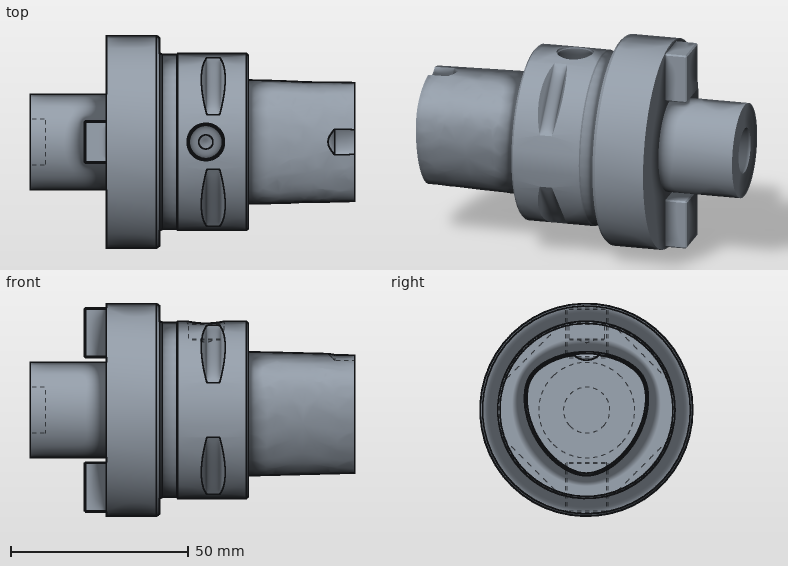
import cadquery as cq
import math


PILOT_DIAMETER = 27.0
PILOT_LENGTH = 21.5
FLANGE_DIAMETER = 60.0
FLANGE_LENGTH = 15.0
FLANGE_CHAMFER_LENGTH = 0.9
FLANGE_CHAMFER_DEPTH = 0.7
COLLAR_DIAMETER = 50.0
COLLAR_LENGTH = 25.0
COLLAR_CHAMFER = 0.6
NECK_DIAMETER = 49.4
NECK_LENGTH = 4.4
NECK_STEP = (COLLAR_DIAMETER - NECK_DIAMETER) / 2
NECK_LEAD_LENGTH = 0.75

BORE_DIAMETER = 13.0
BORE_DEPTH = 4.2

KEY_WIDTH = 12.0
KEY_HEIGHT = 6.2
KEY_INNER_RADIUS = 14.7
KEY_OUTER_RADIUS = 28.8
KEY_CHAMFER = 0.4

SHANK_LENGTH = 30.0
SHANK_DIAMETER = 35.0
SHANK_LOBE_HEIGHT = 1.08
SHANK_TAPER = 1 / 20
SHANK_LOBES = 3
SHANK_SPLINE_POINTS = 36

KEYWAY_RADIUS = 5.0
KEYWAY_LENGTH = 5.7
KEYWAY_FLOOR_RADIUS = 14.0
KEYWAY_CONE_ANGLE = 45.0

SLOT_X = -9.9
SLOT_FLOOR_RADIUS = 22.25
SLOT_FLOOR_WIDTH = 3.6
SLOT_FLANK_ANGLE = 30.0
SLOT_FLOOR_FILLET = 0.4
SLOT_CLEARANCE = 1.0
SLOT_ANGLES = (45, 135, 225, 315)

CHIP_X = -12.0
CHIP_DIAMETER = 10.0
CHIP_FLOOR_RADIUS = 19.7
CHIP_FLOOR_CHAMFER = 0.3
CHIP_RIM_CHAMFER = 0.25
CENTRE_MARK_DIAMETER = 4.0
CENTRE_MARK_POINT_ANGLE = 140.0

FLANGE_BACK_X = -COLLAR_LENGTH
FLANGE_FRONT_X = FLANGE_BACK_X - FLANGE_LENGTH
PILOT_FRONT_X = FLANGE_FRONT_X - PILOT_LENGTH
NECK_FRONT_X = FLANGE_BACK_X + NECK_LEAD_LENGTH
NECK_BACK_X = NECK_FRONT_X + NECK_LENGTH


def turned_body():
    """Pilot, flange, neck and collar, revolved about the X axis."""
    pilot_radius = PILOT_DIAMETER / 2
    flange_radius = FLANGE_DIAMETER / 2
    neck_radius = NECK_DIAMETER / 2
    collar_radius = COLLAR_DIAMETER / 2
    outline = [
        (PILOT_FRONT_X, 0),
        (PILOT_FRONT_X, pilot_radius),
        (FLANGE_FRONT_X, pilot_radius),
        (FLANGE_FRONT_X, flange_radius),
        (FLANGE_BACK_X - FLANGE_CHAMFER_LENGTH, flange_radius),
        (FLANGE_BACK_X, flange_radius - FLANGE_CHAMFER_DEPTH),
        (FLANGE_BACK_X, collar_radius),
        (NECK_FRONT_X, neck_radius),
        (NECK_BACK_X - NECK_STEP, neck_radius),
        (NECK_BACK_X, collar_radius),
        (-COLLAR_CHAMFER, collar_radius),
        (0, collar_radius - COLLAR_CHAMFER),
        (0, 0),
    ]
    return cq.Workplane("XY").polyline(outline).close().revolve(360, (0, 0, 0), (1, 0, 0))


def lobe_point(mean_radius, angle):
    """Point of the three-lobed section as (y, z), with one lobe pointing to -Z.

    The section is the envelope of tangent lines whose distance from the axis is
    mean_radius + SHANK_LOBE_HEIGHT * cos(lobes * angle).
    """
    distance = mean_radius + SHANK_LOBE_HEIGHT * math.cos(SHANK_LOBES * angle)
    slope = -SHANK_LOBES * SHANK_LOBE_HEIGHT * math.sin(SHANK_LOBES * angle)
    along = distance * math.cos(angle) - slope * math.sin(angle)
    across = distance * math.sin(angle) + slope * math.cos(angle)
    return across, -along


def lobe_section(x, mean_radius):
    """Closed wire of the shank section in the plane at x."""
    step = 2 * math.pi / SHANK_SPLINE_POINTS
    points = []
    for index in range(SHANK_SPLINE_POINTS):
        y, z = lobe_point(mean_radius, index * step)
        points.append(cq.Vector(x, y, z))
    return cq.Wire.assembleEdges([cq.Edge.makeSpline(points, periodic=True)])


def shank():
    """Tapered three-lobed shank."""
    large_radius = SHANK_DIAMETER / 2
    small_radius = large_radius - SHANK_LENGTH * SHANK_TAPER / 2
    sections = [lobe_section(0, large_radius), lobe_section(SHANK_LENGTH, small_radius)]
    return cq.Workplane(cq.Solid.makeLoft(sections, True))


def shank_keyway():
    """Round-bottomed groove along X, closed by a cone that runs out to the surface."""
    axis_z = KEYWAY_FLOOR_RADIUS + KEYWAY_RADIUS
    cone_x = SHANK_LENGTH - KEYWAY_LENGTH
    cone_length = KEYWAY_RADIUS / math.tan(math.radians(KEYWAY_CONE_ANGLE))
    outline = [
        (cone_x - cone_length, 0),
        (cone_x, KEYWAY_RADIUS),
        (SHANK_LENGTH, KEYWAY_RADIUS),
        (SHANK_LENGTH, 0),
    ]
    groove = cq.Workplane("XY").polyline(outline).close().revolve(360, (0, 0, 0), (1, 0, 0))
    return groove.translate((0, 0, axis_z))


def drive_key(side):
    """Rectangular key on the flange face; side is +1 for +Z and -1 for -Z."""
    key_span = KEY_OUTER_RADIUS - KEY_INNER_RADIUS
    centre_z = side * (KEY_OUTER_RADIUS + KEY_INNER_RADIUS) / 2
    return (
        cq.Workplane("YZ", origin=(FLANGE_FRONT_X, 0, centre_z))
        .rect(KEY_WIDTH, key_span)
        .extrude(-KEY_HEIGHT)
        .edges("|X or <X")
        .chamfer(KEY_CHAMFER)
    )


def gripper_slot(angle):
    """Flat-floored slot with flared flanks, across the collar at an angle about X."""
    depth = COLLAR_DIAMETER / 2 - SLOT_FLOOR_RADIUS + SLOT_CLEARANCE
    flare = depth * math.tan(math.radians(SLOT_FLANK_ANGLE))
    floor_half = SLOT_FLOOR_WIDTH / 2
    top_z = SLOT_FLOOR_RADIUS + depth
    outline = [
        (SLOT_X - floor_half, SLOT_FLOOR_RADIUS),
        (SLOT_X + floor_half, SLOT_FLOOR_RADIUS),
        (SLOT_X + floor_half + flare, top_z),
        (SLOT_X - floor_half - flare, top_z),
    ]
    slot = cq.Workplane("XZ").polyline(outline).close().extrude(COLLAR_DIAMETER / 2, both=True)
    slot = slot.faces("<Z").edges("|Y").fillet(SLOT_FLOOR_FILLET)
    return slot.rotate((0, 0, 0), (1, 0, 0), angle)


def chip_pocket():
    """Round pocket from the top with a conical centre mark in its floor."""
    hole_radius = CHIP_DIAMETER / 2
    mark_radius = CENTRE_MARK_DIAMETER / 2
    mark_depth = mark_radius / math.tan(math.radians(CENTRE_MARK_POINT_ANGLE / 2))
    rim_radius = hole_radius + CHIP_RIM_CHAMFER
    top = COLLAR_DIAMETER / 2
    rim_dip = top - math.sqrt(top**2 - rim_radius**2)
    outline = [
        (0, CHIP_FLOOR_RADIUS - mark_depth),
        (mark_radius, CHIP_FLOOR_RADIUS),
        (hole_radius - CHIP_FLOOR_CHAMFER, CHIP_FLOOR_RADIUS),
        (hole_radius, CHIP_FLOOR_RADIUS + CHIP_FLOOR_CHAMFER),
        (hole_radius, top - CHIP_RIM_CHAMFER - rim_dip),
        (rim_radius, top - rim_dip),
        (rim_radius, top),
        (0, top),
    ]
    pocket = cq.Workplane("XZ").polyline(outline).close().revolve(360, (0, 0, 0), (0, 1, 0))
    return pocket.translate((CHIP_X, 0, 0))


def pilot_bore():
    """Blind bore in the front face of the pilot."""
    return cq.Workplane("YZ", origin=(PILOT_FRONT_X, 0, 0)).circle(BORE_DIAMETER / 2).extrude(BORE_DEPTH)


result = turned_body().union(shank().cut(shank_keyway()))
for key_side in (1, -1):
    result = result.union(drive_key(key_side))
for slot_angle in SLOT_ANGLES:
    result = result.cut(gripper_slot(slot_angle))
result = result.cut(chip_pocket()).cut(pilot_bore())